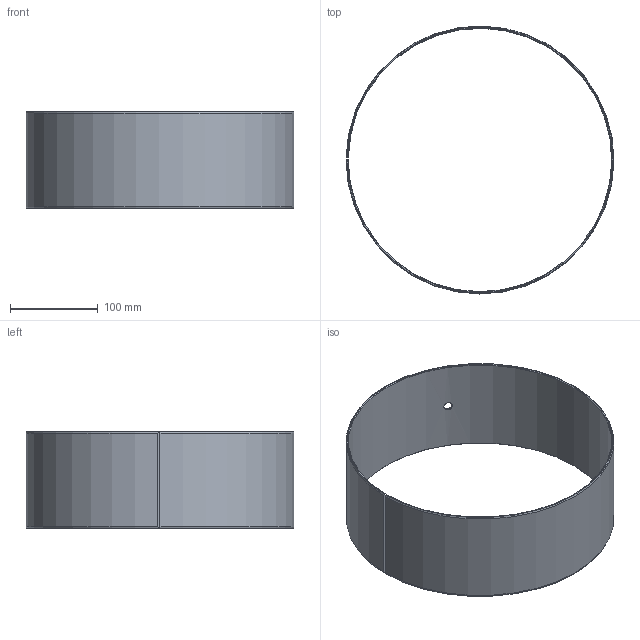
import cadquery as cq
import math

outer_diameter = 305.0
wall = 2.5
height = 110.0
ring_sweep = 359.0
slit_angle = 180.0

outer_bevel_height = 1.8
outer_bevel_angle = 20.0
outer_bevel_depth = outer_bevel_height * math.tan(math.radians(outer_bevel_angle))
inner_bevel = 0.8

hole_diameter = 10.0
hole_angle = 59.0
hole_height = height / 2

outer_radius = outer_diameter / 2
inner_radius = outer_radius - wall


def split_ring():
    """Wall section with bevelled rims, turned almost all the way round the Z axis."""
    rim_outer_radius = outer_radius - outer_bevel_depth
    rim_inner_radius = inner_radius + inner_bevel
    wall_section = [
        (rim_inner_radius, 0),
        (rim_outer_radius, 0),
        (outer_radius, outer_bevel_height),
        (outer_radius, height - outer_bevel_height),
        (rim_outer_radius, height),
        (rim_inner_radius, height),
        (inner_radius, height - inner_bevel),
        (inner_radius, inner_bevel),
    ]
    return (
        cq.Workplane("XZ")
        .polyline(wall_section)
        .close()
        .revolve(ring_sweep, (0, 0), (0, 1))
        .rotate((0, 0, 0), (0, 0, 1), slit_angle)
    )


def hole_cutter():
    """Radial cylinder that passes through one side of the wall only."""
    return (
        cq.Workplane("YZ", origin=(outer_radius, 0, hole_height))
        .circle(hole_diameter / 2)
        .extrude(2 * wall, both=True)
        .rotate((0, 0, 0), (0, 0, 1), hole_angle)
    )


result = split_ring().cut(hole_cutter())